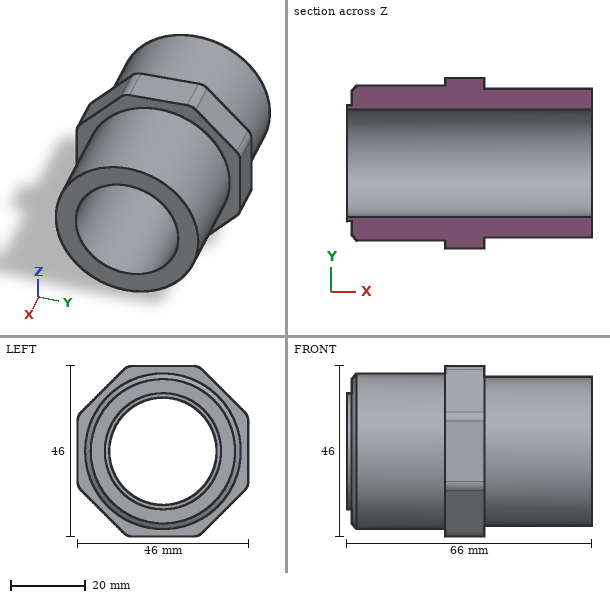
import cadquery as cq

total_length = 66.0
across_flats = 46.0

lip_length = 1.3
collar_start = 26.45
collar_width = 10.55
collar_end = collar_start + collar_width

lip_diameter = 31.3
body_diameter = 41.9
spigot_diameter = 40.1
bore_diameter = 28.85

chamfer_length = 1.3
chamfer_depth = 1.5
collar_corner_radius = 3.4


def cylinder(start, end, diameter):
    """Round length coaxial with X."""
    return cq.Workplane("YZ", origin=(start, 0, 0)).circle(diameter / 2).extrude(end - start)


def chamfered_body():
    """Large round section with a bevelled front edge."""
    radius = body_diameter / 2
    profile = [
        (lip_length, 0),
        (lip_length, radius - chamfer_depth),
        (lip_length + chamfer_length, radius),
        (collar_start, radius),
        (collar_start, 0),
    ]
    return cq.Workplane("XY").polyline(profile).close().revolve(360, (0, 0, 0), (1, 0, 0))


def octagonal_collar():
    """Wrench collar with flats facing Y and Z: two square blocks crossed at 45 degrees, corners rounded."""
    block = cq.Workplane("YZ", origin=(collar_start, 0, 0)).rect(across_flats, across_flats).extrude(collar_width)
    turned_block = block.rotate((0, 0, 0), (1, 0, 0), 45)
    return block.intersect(turned_block).edges("|X").fillet(collar_corner_radius)


lip = cylinder(0, lip_length, lip_diameter)
spigot = cylinder(collar_end, total_length, spigot_diameter)
bore = cylinder(0, total_length, bore_diameter)

result = lip.union(chamfered_body()).union(octagonal_collar()).union(spigot).cut(bore)